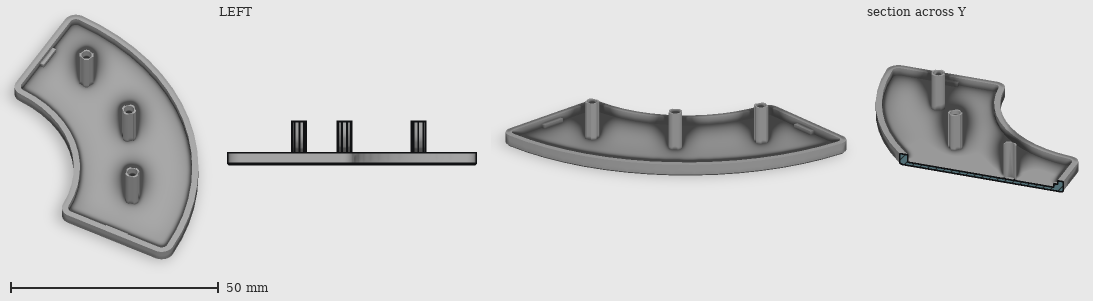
import cadquery as cq
import math

tray_side = 59.9
inner_radius = 29.95
corner_radius = 3.0
wall = 1.5
tray_height = 3.0
floor_thickness = 1.0
bottom_chamfer = 0.4
outer_radius = corner_radius + math.hypot(tray_side - corner_radius, corner_radius)

middle_radius = (inner_radius + tray_side) / 2

post_top = 10.5
post_radius = 1.75
groove_width = 1.25
groove_floor_distance = 1.45
post_bore_radius = 1.25
post_angles = [18.0, 45.0, 72.0]

tab_length = 6.0
tab_depth = 1.0
tab_height = 1.0


def quarter_ring(inset, height):
    """Quarter ring with rounded corners, shrunk on every side by the inset."""
    outer = outer_radius - inset
    inner = inner_radius + inset
    ring = cq.Workplane("XY").circle(outer).circle(inner).extrude(height)
    quadrant = cq.Workplane("XY").box(outer_radius, outer_radius, height, centered=False)
    sector = ring.intersect(quadrant.translate((inset, inset, 0)))
    return sector.edges("|Z").fillet(corner_radius - inset)


def make_tray():
    body = quarter_ring(0, tray_height).faces("<Z").edges().chamfer(bottom_chamfer)
    pocket = quarter_ring(wall, tray_height).translate((0, 0, floor_thickness))
    return body.cut(pocket)


def make_post(angle):
    """Grooved post on the middle arc, one groove facing straight outwards."""
    height = post_top - floor_thickness
    bar = cq.Workplane("XY").circle(post_radius).extrude(height)
    core = cq.Workplane("XY").rect(2 * groove_floor_distance, 2 * groove_floor_distance).extrude(height)
    core = core.intersect(bar)
    grooves = cq.Workplane("XY").rect(2 * post_radius, groove_width).extrude(height)
    grooves = grooves.union(grooves.rotate((0, 0, 0), (0, 0, 1), 90))
    bore = cq.Workplane("XY").circle(post_bore_radius).extrude(height)
    post = bar.cut(grooves).union(core).cut(bore)
    post = post.rotate((0, 0, 0), (0, 0, 1), angle)
    x = middle_radius * math.cos(math.radians(angle))
    y = middle_radius * math.sin(math.radians(angle))
    return post.translate((x, y, floor_thickness))


def make_tab(length_x, length_y, x, y):
    tab = cq.Workplane("XY").box(length_x, length_y, tab_height, centered=(True, True, False))
    return tab.translate((x, y, floor_thickness))


result = make_tray()
for post_angle in post_angles:
    result = result.union(make_post(post_angle))

tab_offset = wall + tab_depth / 2
result = result.union(make_tab(tab_length, tab_depth, middle_radius, tab_offset))
result = result.union(make_tab(tab_depth, tab_length, tab_offset, middle_radius))